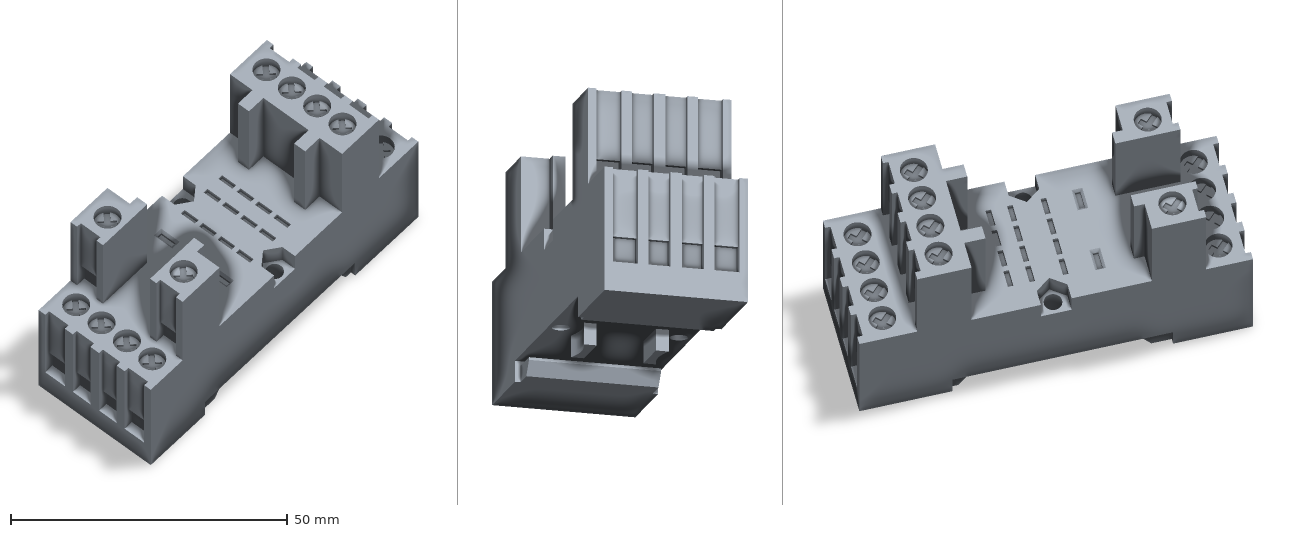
import cadquery as cq


width = 27.0
length = 73.5
overall_height = 41.7
foot_projection = 0.15
tower_top = overall_height - foot_projection
deck = 23.4
side_x = width / 2
end_y = length / 2

row_count = 4

tower_depth = 10.15
rear_tower_inner_y = 15.8
front_tower_inner_y = -17.85
rear_tower_outer_y = rear_tower_inner_y + tower_depth
front_tower_outer_y = front_tower_inner_y - tower_depth
front_tower_inner_x = 5.65
rib_outer_x = 8.1
rear_rib_inner_x = 5.45
rear_rib_depth = 4.0
front_rib_depth = 2.0

recess_front_y = -21.8
recess_rear_y = 19.4
recess_height = 4.0
hook_inset = 1.0
hook_tip_y = 16.25
hook_bottom_y = 18.0
hook_tip_z = 2.6
hook_top_z = 3.1
foot_outer_x = 8.0
foot_inner_x = 5.6
foot_length = 8.2
foot_sagitta = 0.8

outer_slot_x = 9.55
outer_slot_width = 4.7
inner_slot_x = 3.15
inner_slot_width = 4.2
slot_depth = 1.0
entry_depth = 2.0
entry_height = 5.1
body_slot_floor = 5.5

screw_pitch = 6.1
screw_diameter = 5.1
screw_recess = 2.0
cross_width = 1.2
cross_short_length = 3.5
cross_depth = 0.5
cross_angle = -45
rear_upper_screw_y = 20.9
rear_lower_screw_y = 31.4
front_upper_screw_y = -22.8
front_lower_screw_y = -31.4

pin_pitch = 4.4
pin_rows_y = (7.2, 3.15, -3.1)
pin_length = 3.4
pin_width = 1.0
pin_depth = 1.0
coil_pin_y = -9.5
coil_pin_x = (row_count - 1) / 2 * pin_pitch
coil_funnel_x = 6.55
coil_funnel_length = 4.4
coil_funnel_width = 2.0
coil_funnel_depth = 0.5

mount_x = 11.1
mount_diameter = 3.4
pocket_half_width = 2.9
pocket_shoulder_x = 10.45
pocket_tip_x = 8.3
pocket_depth = 4.0

outer_slots = [(side * outer_slot_x, outer_slot_width) for side in (-1, 1)]
all_slots = outer_slots + [(side * inner_slot_x, inner_slot_width) for side in (-1, 1)]
screw_row_x = [(i - (row_count - 1) / 2) * screw_pitch for i in range(row_count)]
outer_screw_x = (screw_row_x[0], screw_row_x[-1])
pin_row_x = [(i - (row_count - 1) / 2) * pin_pitch for i in range(row_count)]


def block(x0, x1, y0, y1, z0, z1):
    """Axis-aligned box between two opposite corners."""
    corner = (min(x0, x1), min(y0, y1), z0)
    return cq.Workplane("XY").box(abs(x1 - x0), abs(y1 - y0), z1 - z0, centered=False).translate(corner)


def rail_hook(wall_y, side):
    """Wedge hook on the recess wall at wall_y; side is +1 for the rear and -1 for the front."""
    profile = [
        (wall_y, 0),
        (side * hook_bottom_y, 0),
        (side * hook_tip_y, hook_tip_z),
        (side * hook_tip_y, hook_top_z),
        (wall_y, hook_top_z),
    ]
    half_width = side_x - hook_inset
    return cq.Workplane("YZ").polyline(profile).close().extrude(half_width, both=True)


def curved_foot(side):
    """Foot below the recess with a hollow outer face."""
    half_length = foot_length / 2
    return (
        cq.Workplane("XY", origin=(0, 0, -foot_projection))
        .moveTo(side * foot_inner_x, -half_length)
        .lineTo(side * foot_outer_x, -half_length)
        .threePointArc(
            (side * (foot_outer_x - foot_sagitta), 0),
            (side * foot_outer_x, half_length),
        )
        .lineTo(side * foot_inner_x, half_length)
        .close()
        .extrude(foot_projection + recess_height)
    )


def wire_slot(x, slot_width, face_y, floor_z, top_z):
    """Open-topped slot in an end face, with a deeper wire entry at its foot."""
    inward = -1 if face_y > 0 else 1
    x0 = x - slot_width / 2
    x1 = x + slot_width / 2
    channel = block(x0, x1, face_y, face_y + inward * slot_depth, floor_z, top_z)
    entry = block(x0, x1, face_y, face_y + inward * entry_depth, floor_z, floor_z + entry_height)
    return channel.union(entry)


def screw_recess_cut(x, y, top_z):
    """Round recess down to the screw head, plus the cross drive cut into the head."""
    head_z = top_z - screw_recess
    recess = cq.Workplane("XY").circle(screw_diameter / 2).extrude(screw_recess)
    long_arm = cq.Workplane("XY").rect(screw_diameter, cross_width).extrude(-cross_depth)
    short_arm = cq.Workplane("XY").rect(cross_width, cross_short_length).extrude(-cross_depth)
    head_outline = cq.Workplane("XY").circle(screw_diameter / 2).extrude(-cross_depth)
    cross = long_arm.union(short_arm).intersect(head_outline)
    cross = cross.rotate((0, 0, 0), (0, 0, 1), cross_angle)
    return recess.union(cross).translate((x, y, head_z))


def pin_opening(x, y):
    """Rectangular relay pin opening in the deck."""
    return cq.Workplane("XY", origin=(x, y, deck)).rect(pin_length, pin_width).extrude(-pin_depth)


def coil_opening(side):
    """Pin opening below a tapered lead-in funnel, as deep in total as the plain openings."""
    funnel = (
        cq.Workplane("XY", origin=(side * coil_funnel_x, coil_pin_y, deck))
        .rect(coil_funnel_length, coil_funnel_width)
        .workplane(offset=-coil_funnel_depth)
        .center(side * (coil_pin_x - coil_funnel_x), 0)
        .rect(pin_length, pin_width)
        .loft(ruled=True)
    )
    return funnel.union(pin_opening(side * coil_pin_x, coil_pin_y))


def mounting_cut(side):
    """Pointed pocket open to the side of the body, with a through hole in its floor."""
    outline = [
        (side * side_x, -pocket_half_width),
        (side * pocket_shoulder_x, -pocket_half_width),
        (side * pocket_tip_x, 0),
        (side * pocket_shoulder_x, pocket_half_width),
        (side * side_x, pocket_half_width),
    ]
    pocket = cq.Workplane("XY", origin=(0, 0, deck)).polyline(outline).close().extrude(-pocket_depth)
    hole = cq.Workplane("XY").center(side * mount_x, 0).circle(mount_diameter / 2).extrude(deck)
    return pocket.union(hole)


result = block(-side_x, side_x, -end_y, end_y, 0, deck)
result = result.cut(block(-side_x, side_x, recess_front_y, recess_rear_y, 0, recess_height))
result = result.union(block(-side_x, side_x, rear_tower_inner_y, rear_tower_outer_y, deck, tower_top))
for side in (-1, 1):
    rear_rib = block(
        side * rear_rib_inner_x, side * rib_outer_x,
        rear_tower_inner_y - rear_rib_depth, rear_tower_inner_y, deck, tower_top,
    )
    front_tower = block(
        side * front_tower_inner_x, side * side_x,
        front_tower_outer_y, front_tower_inner_y, deck, tower_top,
    )
    front_rib = block(
        side * front_tower_inner_x, side * rib_outer_x,
        front_tower_inner_y, front_tower_inner_y + front_rib_depth, deck, tower_top,
    )
    result = result.union(rear_rib).union(front_tower).union(front_rib).union(curved_foot(side))
result = result.union(rail_hook(recess_rear_y, 1)).union(rail_hook(recess_front_y, -1))

slot_groups = [
    (all_slots, end_y, body_slot_floor, deck),
    (all_slots, -end_y, body_slot_floor, deck),
    (all_slots, rear_tower_outer_y, deck, tower_top),
    (outer_slots, front_tower_outer_y, deck, tower_top),
]
for slots, face_y, floor_z, top_z in slot_groups:
    for x, slot_width in slots:
        result = result.cut(wire_slot(x, slot_width, face_y, floor_z, top_z))

screw_groups = [
    (screw_row_x, rear_lower_screw_y, deck),
    (screw_row_x, rear_upper_screw_y, tower_top),
    (outer_screw_x, front_upper_screw_y, tower_top),
    (screw_row_x, front_lower_screw_y, deck),
]
for columns, y, top_z in screw_groups:
    for x in columns:
        result = result.cut(screw_recess_cut(x, y, top_z))

for y in pin_rows_y:
    for x in pin_row_x:
        result = result.cut(pin_opening(x, y))

for side in (-1, 1):
    result = result.cut(coil_opening(side)).cut(mounting_cut(side))